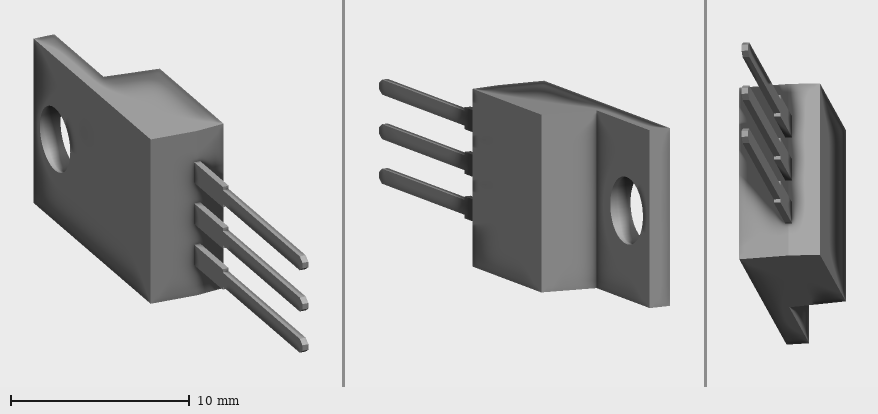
import cadquery as cq

total_length = 28.65
width = 10.17
body_depth = 4.58

tab_thickness = 1.3
tab_exposed_length = 6.25
neck_end = 7.35
pad_end = 12.38
neck_width = 7.7
pad_width = 8.42
hole_center_x = 2.72
hole_diameter = 3.85

top_start = 6.68
parting_end = 14.95
bottom_end = 14.8
top_end = 14.75

lead_count = 3
lead_pitch = 2.55
lead_thickness = 0.37
lead_center_y = 2.85
shoulder_end = 18.57
shoulder_width = 1.25
lead_width = 0.85
tip_length = 0.35
tip_width = 0.35
lead_start = top_end


def make_tab():
    """Flat plate with stepped sides and a mounting hole."""
    upper_side = [
        (0, width / 2),
        (tab_exposed_length, width / 2),
        (tab_exposed_length, neck_width / 2),
        (neck_end, neck_width / 2),
        (neck_end, pad_width / 2),
        (pad_end, pad_width / 2),
    ]
    lower_side = [(x, -z) for x, z in reversed(upper_side)]
    plate = cq.Workplane("XZ").polyline(upper_side + lower_side).close().extrude(-tab_thickness)
    hole = cq.Workplane("XZ").center(hole_center_x, 0).circle(hole_diameter / 2).extrude(-tab_thickness)
    return plate.cut(hole)


def make_lead(center_z):
    """Flat lead with a wide shoulder and a tapered tip."""
    upper_side = [
        (lead_start, shoulder_width / 2),
        (shoulder_end, shoulder_width / 2),
        (shoulder_end, lead_width / 2),
        (total_length - tip_length, lead_width / 2),
        (total_length, tip_width / 2),
    ]
    lower_side = [(x, -z) for x, z in reversed(upper_side)]
    blank = cq.Workplane("XZ").polyline(upper_side + lower_side).close().extrude(-lead_thickness)
    return blank.translate((0, lead_center_y - lead_thickness / 2, center_z))


def make_body(tab, leads):
    """Moulded block with a leaning front, a drafted lead end, and recesses for tab and leads."""
    block = (
        cq.Workplane("XY")
        .moveTo(tab_exposed_length, 0)
        .lineTo(bottom_end, 0)
        .lineTo(parting_end, lead_center_y)
        .lineTo(top_end, body_depth)
        .lineTo(top_start, body_depth)
        .lineTo(tab_exposed_length, tab_thickness)
        .close()
        .extrude(width / 2, both=True)
    )
    block = block.cut(tab)
    for lead in leads:
        block = block.cut(lead)
    return block


tab = make_tab()
leads = [make_lead((i - (lead_count - 1) / 2) * lead_pitch) for i in range(lead_count)]
body = make_body(tab, leads)

result = cq.Compound.makeCompound([tab.val(), body.val(), *[lead.val() for lead in leads]])